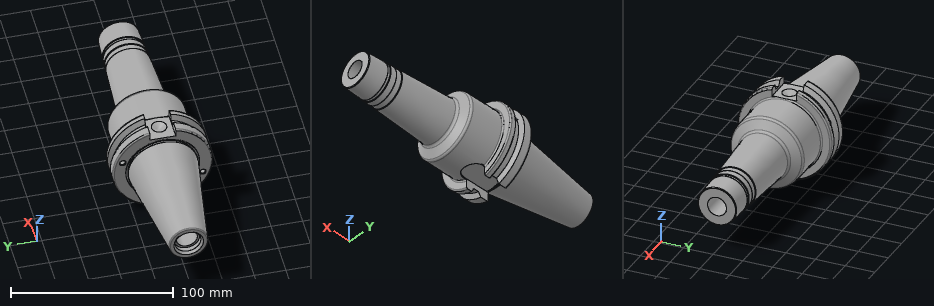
import cadquery as cq
import math


gauge_diameter = 44.45
taper_length = 68.25
taper_slope = 7 / 24 / 2
tail_edge_radius = 0.8
neck_diameter = 43.8
neck_start = 0.5

flange_radius = 31.63
flange_back = 1.0
flange_front = 19.05
flange_edge_radius = 1.0
recess_radius = 23.3
recess_depth = 0.8
groove_center = 11.15
groove_floor_radius = 28.2
groove_floor_width = 3.9
groove_half_angle = math.radians(28)

body_radius = 24.75
body_fillet = 1.0
shoulder_start = 45.27
shoulder_angle = math.radians(60)
shoulder_edge_radius = 2.1
shoulder_root_radius = 2.5

nose_end = 120.0
nose_end_radius = 13.0
nose_slope = math.tan(math.radians(3))
nose_chamfer = 0.5
ring_depth = 0.4
ring_spans = [(-26.4, -21.7), (-17.35, -14.9)]

drill_tip_half_angle = math.radians(59)

pilot_diameter = 16.3
pilot_mouth_diameter = 18.6
pilot_mouth_depth = 2.0
pilot_depth = 5.1
thread_diameter = 13.39
thread_depth = 30.0
through_diameter = 8.92
shank_diameter = 12.7
shank_depth = 50.0

slot_width = 16.3
upper_slot_floor = 25.2
lower_slot_floor = 22.6
slot_end_center = 20.6
dimple_diameter = 9.53

coolant_angle = 20.0
coolant_circle_radius = 26.9
axial_hole_diameter = 3.24
axial_mouth_diameter = 4.2
radial_hole_diameter = 4.0


def taper_radius(x):
    return gauge_diameter / 2 + taper_slope * x


def nose_radius(x):
    return nose_end_radius + nose_slope * (nose_end - x)


def revolve(points):
    return cq.Workplane("XY").polyline(points).close().revolve(360, (0, 0, 0), (1, 0, 0))


def edges_at(x):
    margin = 0.1
    reach = 2 * flange_radius
    return cq.selectors.BoxSelector(
        (x - margin, -reach, -reach),
        (x + margin, reach, reach),
        boundingbox=True,
    )


def cylinder(x_start, x_end, radius):
    return cq.Workplane("YZ", origin=(x_start, 0, 0)).circle(radius).extrude(x_end - x_start)


def make_shank():
    tail = -taper_length
    recess_floor = flange_back + recess_depth
    shank = revolve([
        (tail, 0),
        (tail, taper_radius(tail)),
        (0, gauge_diameter / 2),
        (neck_start, neck_diameter / 2),
        (recess_floor, neck_diameter / 2),
        (recess_floor, 0),
    ])
    return shank.faces("<X").edges().fillet(tail_edge_radius)


def make_flange():
    half_floor = groove_floor_width / 2
    half_mouth = half_floor + (flange_radius - groove_floor_radius) * math.tan(groove_half_angle)
    recess_floor = flange_back + recess_depth
    flange = revolve([
        (recess_floor, 0),
        (recess_floor, recess_radius),
        (flange_back, recess_radius),
        (flange_back, flange_radius),
        (groove_center - half_mouth, flange_radius),
        (groove_center - half_floor, groove_floor_radius),
        (groove_center + half_floor, groove_floor_radius),
        (groove_center + half_mouth, flange_radius),
        (flange_front, flange_radius),
        (flange_front, 0),
    ])
    rims = flange.faces("<X or >X").edges(cq.selectors.RadiusNthSelector(-1))
    return rims.fillet(flange_edge_radius)


def make_body_and_nose():
    fall = math.tan(shoulder_angle)
    drop = body_radius - nose_radius(shoulder_start)
    root = shoulder_start + drop / (fall - nose_slope)
    front = revolve([
        (flange_front, 0),
        (flange_front, body_radius),
        (shoulder_start, body_radius),
        (root, nose_radius(root)),
        (nose_end - nose_chamfer, nose_radius(nose_end - nose_chamfer)),
        (nose_end, nose_end_radius - nose_chamfer),
        (nose_end, 0),
    ])
    front = front.edges(edges_at(shoulder_start)).fillet(shoulder_edge_radius)
    return front.edges(edges_at(root)).fillet(shoulder_root_radius)


def make_marking_ring(start, end):
    x_start = nose_end + start
    x_end = nose_end + end
    outside = body_radius
    return revolve([
        (x_start, nose_radius(x_start)),
        (x_start + ring_depth, nose_radius(x_start) - ring_depth),
        (x_end - ring_depth, nose_radius(x_end) - ring_depth),
        (x_end, nose_radius(x_end)),
        (x_end, outside),
        (x_start, outside),
    ])


def make_root_fillet():
    inner = body_radius - body_fillet
    return (
        cq.Workplane("XY")
        .moveTo(flange_front, inner)
        .lineTo(flange_front, body_radius + body_fillet)
        .radiusArc((flange_front + body_fillet, body_radius), -body_fillet)
        .lineTo(flange_front + body_fillet, inner)
        .close()
        .revolve(360, (0, 0, 0), (1, 0, 0))
    )


def make_bores():
    tail = -taper_length
    thread_end = tail + thread_depth
    tip_length = (thread_diameter - through_diameter) / 2 / math.tan(drill_tip_half_angle)
    return revolve([
        (tail, 0),
        (tail, pilot_mouth_diameter / 2),
        (tail + pilot_mouth_depth, pilot_diameter / 2),
        (tail + pilot_depth, pilot_diameter / 2),
        (tail + pilot_depth, thread_diameter / 2),
        (thread_end, thread_diameter / 2),
        (thread_end + tip_length, through_diameter / 2),
        (nose_end - shank_depth, through_diameter / 2),
        (nose_end - shank_depth, shank_diameter / 2),
        (nose_end, shank_diameter / 2),
        (nose_end, 0),
    ])


def make_slot(floor, direction):
    depth = direction * flange_radius
    plane = cq.Workplane("XY", origin=(0, 0, direction * floor))
    half = slot_width / 2
    return (
        plane.moveTo(flange_back, -half)
        .lineTo(slot_end_center, -half)
        .threePointArc((slot_end_center + half, 0), (slot_end_center, half))
        .lineTo(flange_back, half)
        .close()
        .extrude(depth)
    )


def make_dimple():
    radius = dimple_diameter / 2
    depth = radius / math.tan(drill_tip_half_angle)
    cone = cq.Solid.makeCone(0, radius, depth)
    return cone.translate(cq.Vector(groove_center, 0, upper_slot_floor - depth))


def make_coolant_hole(angle):
    axial = cylinder(flange_back, groove_center, axial_hole_diameter / 2)
    mouth_depth = (axial_mouth_diameter - axial_hole_diameter) / 2
    mouth = cq.Workplane(
        cq.Solid.makeCone(
            axial_mouth_diameter / 2,
            axial_hole_diameter / 2,
            mouth_depth,
            cq.Vector(flange_back, 0, 0),
            cq.Vector(1, 0, 0),
        )
    )
    axial = axial.union(mouth).translate((0, coolant_circle_radius, 0))
    radial = (
        cq.Workplane("XZ", origin=(groove_center, 0, 0))
        .circle(radial_hole_diameter / 2)
        .extrude(-flange_radius)
    )
    return axial.union(radial).rotate((0, 0, 0), (1, 0, 0), angle)


holder = make_shank().union(make_flange()).union(make_body_and_nose()).union(make_root_fillet())
for ring_start, ring_end in ring_spans:
    holder = holder.cut(make_marking_ring(ring_start, ring_end))
holder = holder.cut(make_bores())
holder = holder.cut(make_slot(upper_slot_floor, 1))
holder = holder.cut(make_slot(lower_slot_floor, -1))
holder = holder.cut(make_dimple())
for side in (0, 180):
    holder = holder.cut(make_coolant_hole(side + coolant_angle))

result = holder